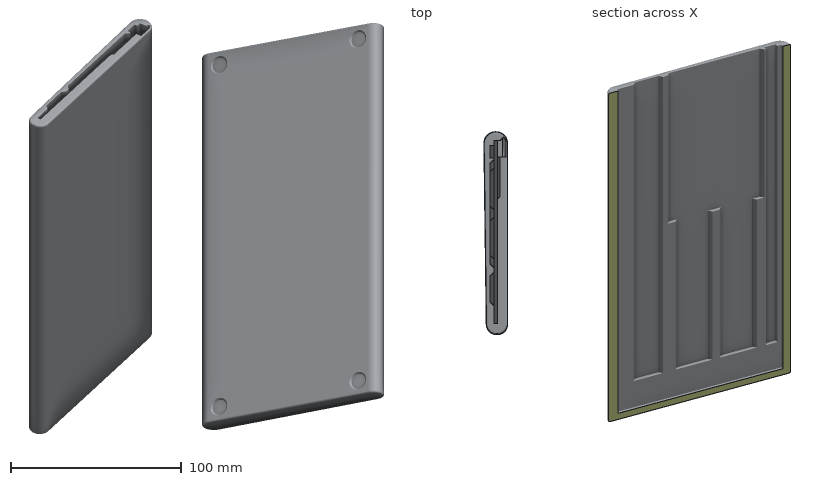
import cadquery as cq
import math

height = 232.0
depth = 119.0
thickness = 14.0
thin_thickness = 12.5
rim_fillet = 1.2

slot_half_width = 1.2
slot_y_max = 54.3
slot_y_min = -53.0
slot_depth = 227.4

left_pocket_wall = -3.2
right_pocket_wall = 2.5
right_pocket_y_min = 20.2
ledge_depth = 104.5
pocket_depth = 208.8

square_pocket_span = (44.0, 51.5)
stepped_pocket_span = (-20.2, 43.2)
tapered_pocket_spans = (
    (13.7, 38.3),
    (-15.0, 9.3),
    (-42.5, -23.0),
)

notch_wall = 6.0
notch_ledge = 4.0
notch_y_min = 44.8
notch_arc_angle = 40.0
notch_slot_corner = 2.5
notch_depth = 18.5

groove_width = 0.7
groove_depth = 0.5

foot_y_places = (-46.5, 45.5)
foot_z = 107.2
foot_diameter = 11.0
foot_floor_diameter = 9.0
foot_depth = 1.0

x_flat = thickness / 2
top_z = height / 2
thick_radius = thickness / 2
thin_radius = thin_thickness / 2
thick_center = (x_flat - thick_radius, depth / 2 - thick_radius)
thin_center = (x_flat - thin_radius, thin_radius - depth / 2)

center_dx = thick_center[0] - thin_center[0]
center_dy = thick_center[1] - thin_center[1]
slope = math.atan2(-center_dx, center_dy)
face_tilt = slope + math.asin((thick_radius - thin_radius) / math.hypot(center_dx, center_dy))
face_normal = (-math.cos(face_tilt), -math.sin(face_tilt))


def on_circle(center, radius, direction):
    return (center[0] + radius * direction[0], center[1] + radius * direction[1])


def make_body():
    """Tapered slab with a full round along each long edge."""
    thick_tangent = on_circle(thick_center, thick_radius, face_normal)
    thin_tangent = on_circle(thin_center, thin_radius, face_normal)
    outline = (
        cq.Workplane("XY", origin=(0, 0, -top_z))
        .moveTo(x_flat, thin_center[1])
        .lineTo(x_flat, thick_center[1])
        .threePointArc((thick_center[0], depth / 2), thick_tangent)
        .lineTo(*thin_tangent)
        .threePointArc((thin_center[0], -depth / 2), (x_flat, thin_center[1]))
        .close()
    )
    return outline.extrude(height).faces("|Z").edges().fillet(rim_fillet)


def cut_from_top(points, cut_depth):
    """Prism with the given XY outline, reaching down from the top face."""
    return cq.Workplane("XY", origin=(0, 0, top_z)).polyline(points).close().extrude(-cut_depth)


def make_slot():
    slot_length = slot_y_max - slot_y_min
    return (
        cq.Workplane("XY", origin=(0, (slot_y_max + slot_y_min) / 2, top_z))
        .rect(2 * slot_half_width, slot_length)
        .extrude(-slot_depth)
    )


def side_pocket(wall_x, y_low, y_high, cut_depth, low_taper=True, high_taper=True):
    """Pocket beside the slot; tapered ends run at 45 degrees towards its far wall."""
    reach = abs(wall_x) - slot_half_width
    slot_x = math.copysign(slot_half_width, wall_x)
    wall_low = y_low + (reach if low_taper else 0)
    wall_high = y_high - (reach if high_taper else 0)
    low_end = [(0, y_low), (slot_x, y_low), (wall_x, wall_low)]
    high_end = [(wall_x, wall_high), (slot_x, y_high), (0, y_high)]
    return cut_from_top(low_end + high_end, cut_depth)


def notch_arc_point(angle):
    """Point on the notch wall arc, concentric with the thick rounded edge."""
    radius = notch_wall - thick_center[0]
    turn = math.radians(angle)
    return on_circle(thick_center, radius, (math.cos(turn), math.sin(turn)))


def notch_prism(prism_depth):
    """Notch outline carried straight down from the top face."""
    outline = (
        cq.Workplane("XY", origin=(0, 0, top_z))
        .moveTo(0, notch_y_min)
        .lineTo(notch_wall, notch_y_min)
        .lineTo(*notch_arc_point(0))
        .threePointArc(notch_arc_point(notch_arc_angle / 2), notch_arc_point(notch_arc_angle))
        .lineTo(notch_slot_corner, slot_y_max)
        .lineTo(0, slot_y_max)
        .close()
    )
    return outline.extrude(-prism_depth)


def make_notch():
    """Deep corner opening: flat floor beside the slot, ramp along the outer wall."""
    ramp_drop = depth / 2 - notch_y_min
    flat_part = notch_prism(notch_depth)
    ramp_space = (
        cq.Workplane("YZ", origin=(notch_ledge, 0, 0))
        .moveTo(notch_y_min, top_z)
        .lineTo(depth / 2, top_z)
        .lineTo(depth / 2, top_z - notch_depth - ramp_drop)
        .lineTo(notch_y_min, top_z - notch_depth)
        .close()
        .extrude(notch_wall - notch_ledge)
    )
    ramp_part = notch_prism(notch_depth + ramp_drop).intersect(ramp_space)
    return flat_part.union(ramp_part)


def make_seam_groove():
    """Narrow groove along the crest of the thin rounded edge, over the full height."""
    return cq.Workplane("XY").box(groove_width, 2 * groove_depth, height).translate(
        (thin_center[0], -depth / 2, 0)
    )


def foot_recess(y, z):
    """Shallow conical seat for a foot, sunk square to the sloping face."""
    thick_tangent = on_circle(thick_center, thick_radius, face_normal)
    x = thick_tangent[0] + (thick_tangent[1] - y) * math.tan(face_tilt)
    face = cq.Plane(origin=(x, y, z), xDir=(0, 0, 1), normal=(face_normal[0], face_normal[1], 0))
    draft = math.degrees(math.atan2((foot_diameter - foot_floor_diameter) / 2, foot_depth))
    return cq.Workplane(face).circle(foot_diameter / 2).extrude(-foot_depth, taper=draft)


result = make_body().cut(make_slot())

result = result.cut(side_pocket(left_pocket_wall, *square_pocket_span, pocket_depth, False, False))
result = result.cut(side_pocket(left_pocket_wall, *stepped_pocket_span, ledge_depth))
for span in tapered_pocket_spans:
    result = result.cut(side_pocket(left_pocket_wall, *span, pocket_depth))

result = result.cut(side_pocket(right_pocket_wall, right_pocket_y_min, notch_y_min, pocket_depth, True, False))
result = result.cut(make_notch())

result = result.cut(make_seam_groove())

for place_y in foot_y_places:
    for place_z in (-foot_z, foot_z):
        result = result.cut(foot_recess(place_y, place_z))